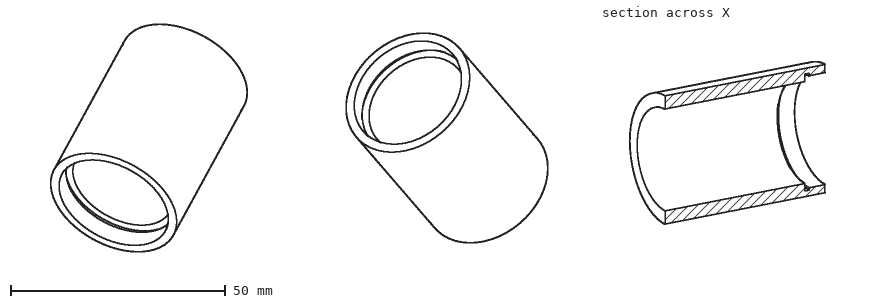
import cadquery as cq

outer_diameter = 31.75
bore_diameter = 25.0
counterbore_diameter = 27.5
groove_diameter = 28.7
length = 43.6
shoulder_depth = 5.5
groove_width = 1.1

front_y = -length / 2
shoulder_y = front_y + shoulder_depth


def cylinder_along_y(diameter, start_y, height):
    """Solid cylinder on the Y axis, running from start_y toward +Y."""
    plane = cq.Workplane("XZ", origin=(0, start_y, 0))
    return plane.circle(diameter / 2).extrude(-height)


body = cylinder_along_y(outer_diameter, front_y, length)
bore = cylinder_along_y(bore_diameter, front_y, length)

counterbore = cylinder_along_y(counterbore_diameter, front_y, shoulder_depth)

groove = cylinder_along_y(groove_diameter, shoulder_y - groove_width, groove_width)

result = body.cut(bore).cut(counterbore).cut(groove)